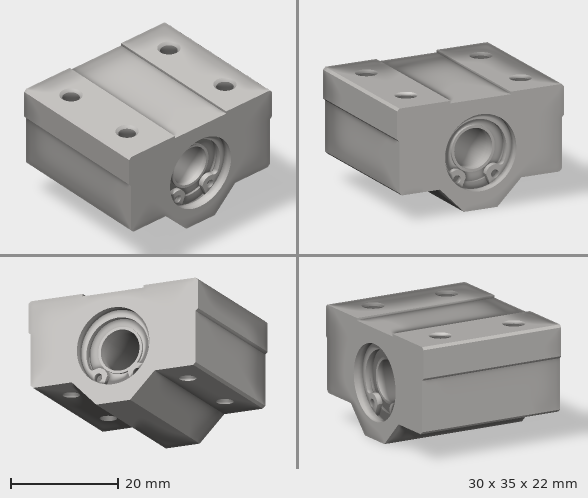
import cadquery as cq
import math


LENGTH = 30.0
WIDTH = 35.0
AXIS_TO_TOP = 11.0
AXIS_TO_BOTTOM = 11.02
FLANGE_HEIGHT = 6.5
SIDE_STEP = 0.5
EDGE_CHAMFER = 0.5
SHOULDER_Z = -6.0
KEEL_BOTTOM_WIDTH = 7.0
TOP_CHANNEL_WIDTH = 12.6
TOP_CHANNEL_DEPTH = 0.5

HOLE_SPACING_X = 16.0
HOLE_SPACING_Y = 24.0
HOLE_DIAMETER = 3.3
HOLE_CHAMFER = 0.52

BEARING_LENGTH = 24.0
BEARING_RADIUS = 7.5
SEAL_RADIUS = 6.4
SEAL_RECESS = 0.5
RETAINER_RADIUS = 4.5
SHAFT_RADIUS = 4.0

RING_THICKNESS = 1.1
GROOVE_RADIUS = 8.22
RING_INNER_RADIUS = 6.45
RING_INNER_DROP = 0.42
LUG_RADIUS = 1.85
LUG_HOLE_RADIUS = 0.8
LUG_HOLE_FROM_AXIS = 6.5
LUG_HOLE_ANGLE = 37.6
GAP_HALF_ANGLE = 23.0
LUG_FILLET = 0.85

bearing_end = BEARING_LENGTH / 2
ring_outer_face = bearing_end + RING_THICKNESS


def cylinder_along_x(radius, x_start, x_end):
    return cq.Workplane("YZ", origin=(x_start, 0, 0)).circle(radius).extrude(x_end - x_start)


def make_block():
    """Extruded block: wide flanges on top, a channel between them and a tapered keel below."""
    half_width = WIDTH / 2
    lower_half_width = half_width - SIDE_STEP
    flange_bottom = AXIS_TO_TOP - FLANGE_HEIGHT
    channel_half = TOP_CHANNEL_WIDTH / 2
    channel_floor = AXIS_TO_TOP - TOP_CHANNEL_DEPTH
    keel_half = KEEL_BOTTOM_WIDTH / 2
    keel_top_half = keel_half + SHOULDER_Z + AXIS_TO_BOTTOM
    half_outline = [
        (channel_half, channel_floor),
        (channel_half, AXIS_TO_TOP),
        (half_width - EDGE_CHAMFER, AXIS_TO_TOP),
        (half_width, AXIS_TO_TOP - EDGE_CHAMFER),
        (half_width, flange_bottom + SIDE_STEP),
        (lower_half_width, flange_bottom),
        (lower_half_width, SHOULDER_Z + EDGE_CHAMFER),
        (lower_half_width - EDGE_CHAMFER, SHOULDER_Z),
        (keel_top_half, SHOULDER_Z),
        (keel_half, -AXIS_TO_BOTTOM),
    ]
    mirrored_outline = [(-y, z) for y, z in reversed(half_outline)]
    return (
        cq.Workplane("YZ")
        .polyline(half_outline + mirrored_outline)
        .close()
        .extrude(LENGTH / 2, both=True)
    )


def make_mounting_holes():
    """Through holes with a 45 degree countersink at the top."""
    top_radius = HOLE_DIAMETER / 2 + HOLE_CHAMFER
    hole_profile = [
        (0, -AXIS_TO_BOTTOM),
        (HOLE_DIAMETER / 2, -AXIS_TO_BOTTOM),
        (HOLE_DIAMETER / 2, AXIS_TO_TOP - HOLE_CHAMFER),
        (top_radius, AXIS_TO_TOP),
        (0, AXIS_TO_TOP),
    ]
    hole = cq.Workplane("XZ").polyline(hole_profile).close().revolve(360, (0, 0), (0, 1))
    return (
        cq.Workplane("XY")
        .rarray(HOLE_SPACING_X, HOLE_SPACING_Y, 2, 2)
        .eachpoint(lambda place: hole.val().moved(place))
    )


def make_housing():
    """Block with a through bore, a ring groove at each end of the bearing and four holes."""
    bore = cylinder_along_x(BEARING_RADIUS, -LENGTH / 2, LENGTH / 2)
    housing = make_block().cut(bore).cut(make_mounting_holes())
    for side in (-1, 1):
        housing = housing.cut(cylinder_along_x(GROOVE_RADIUS, side * bearing_end, side * ring_outer_face))
    return housing


def make_bearing():
    """Sleeve with recessed end seals and a ball retainer flush with its ends."""
    seal_face = bearing_end - SEAL_RECESS
    half_profile = [
        (bearing_end, SHAFT_RADIUS),
        (bearing_end, RETAINER_RADIUS),
        (seal_face, RETAINER_RADIUS),
        (seal_face, SEAL_RADIUS),
        (bearing_end, SEAL_RADIUS),
        (bearing_end, BEARING_RADIUS),
    ]
    mirrored_profile = [(-x, r) for x, r in reversed(half_profile)]
    return (
        cq.Workplane("XY")
        .polyline(half_profile + mirrored_profile)
        .close()
        .revolve(360, (0, 0), (1, 0))
    )


def make_ring(x_start):
    """Retaining ring, thinner at the top, open at the bottom between two lugs with plier holes."""
    plane = cq.Workplane("YZ", origin=(x_start, 0, 0))
    hole_angle = math.radians(LUG_HOLE_ANGLE)
    hole_y = LUG_HOLE_FROM_AXIS * math.sin(hole_angle)
    hole_z = -LUG_HOLE_FROM_AXIS * math.cos(hole_angle)
    lug_places = [(-hole_y, hole_z), (hole_y, hole_z)]

    disc = plane.circle(GROOVE_RADIUS).extrude(RING_THICKNESS)
    opening = plane.center(0, -RING_INNER_DROP).circle(RING_INNER_RADIUS).extrude(RING_THICKNESS)
    lugs = plane.pushPoints(lug_places).circle(LUG_RADIUS).extrude(RING_THICKNESS).intersect(disc)

    gap_depth = 2 * GROOVE_RADIUS
    gap_half_width = gap_depth * math.tan(math.radians(GAP_HALF_ANGLE))
    gap = (
        plane.polyline([(0, 0), (gap_half_width, -gap_depth), (-gap_half_width, -gap_depth)])
        .close()
        .extrude(RING_THICKNESS)
    )
    ring = disc.cut(opening).union(lugs).cut(gap)

    corner_zone = cq.selectors.BoxSelector(
        (x_start - RING_THICKNESS, -GROOVE_RADIUS, hole_z),
        (x_start + 2 * RING_THICKNESS, GROOVE_RADIUS, 0),
    )
    ring = ring.edges("|X").edges(corner_zone).edges("<Y or >Y").fillet(LUG_FILLET)

    plier_holes = plane.pushPoints(lug_places).circle(LUG_HOLE_RADIUS).extrude(RING_THICKNESS)
    return ring.cut(plier_holes)


housing = make_housing()
bearing = make_bearing()
rings = [make_ring(x_start) for x_start in (-ring_outer_face, bearing_end)]

result = cq.Compound.makeCompound([housing.val(), bearing.val(), *[ring.val() for ring in rings]])